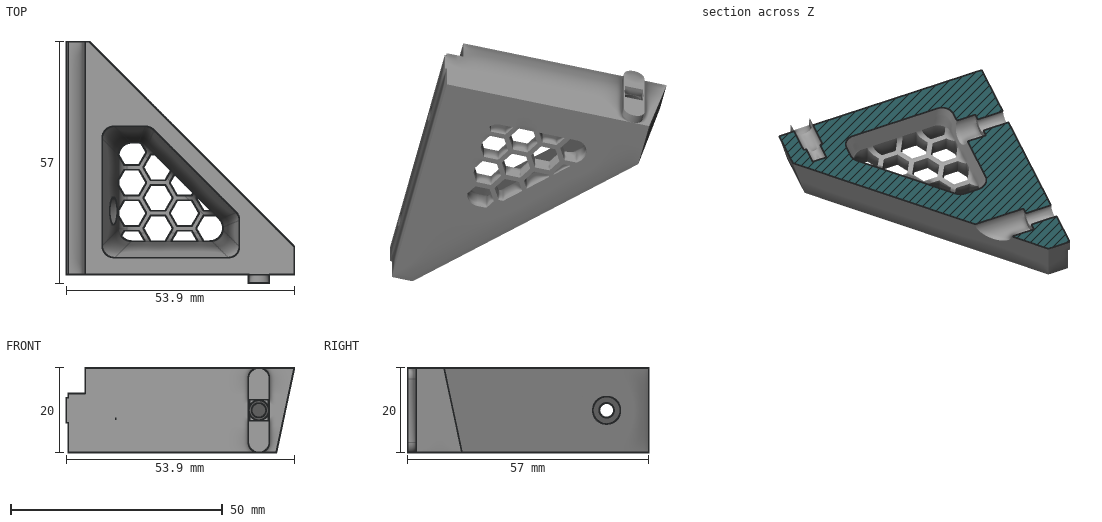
import cadquery as cq
import math

HEIGHT = 20.0
BODY_LENGTH_Y = 55.0
END_FACE_X = 53.39
END_FACE_SLOPE = 12.0
BACK_FACE_WIDTH = 5.0
HYPOTENUSE_SUM = BODY_LENGTH_Y + BACK_FACE_WIDTH

STEP_WIDTH = 4.0
STEP_DEPTH = 6.0
RIB_HEIGHT = 0.5
RIB_WIDTH = 6.0
MID_HEIGHT = HEIGHT / 2

WALL = 4.0
POCKET_LEFT = STEP_WIDTH + WALL
POCKET_FRONT = WALL
POCKET_RIGHT = 40.4
POCKET_BACK = 35.0
POCKET_SUM = HYPOTENUSE_SUM - WALL * math.sqrt(2)
POCKET_TAPER = 15.0
FLOOR_THICKNESS = 4.0
POCKET_CORNER_RADIUS = 3.0
RIGHT_CORNER_RADIUS = 2.7
FLOOR_FILLET = 2.0

HEX_FLATS = 6.0
HEX_WEB = 1.2
HEX_PITCH = HEX_FLATS + HEX_WEB
HEX_COLUMN_PITCH = HEX_PITCH * math.sqrt(3) / 2
HEX_FIRST_X = 14.96
HEX_FIRST_Y = 7.29
HEX_CLEARANCE = 0.02
HEX_COLUMNS = 4
HEX_ROWS = 4

NEAR_SCREW_Y = 15.0
FAR_SCREW_Y = 45.0
SCREW_DIAMETER = 3.4
HEAD_DIAMETER = 6.5
HEAD_SEAT_X = 6.0

TAB_X = 45.0
TAB_WIDTH = 5.0
TAB_THICKNESS = 2.0
TAB_NOTCH_WIDTH = 4.4
TAB_NOTCH_HEIGHT = 4.9
INSERT_DIAMETER = 4.7
INSERT_DEPTH = 6.0
PILOT_DEPTH = 10.0


def make_body():
    """Triangular block with the end face sloping inwards towards the bottom."""
    block = (
        cq.Workplane("XY")
        .polyline([
            (0, 0),
            (END_FACE_X, 0),
            (END_FACE_X, HYPOTENUSE_SUM - END_FACE_X),
            (BACK_FACE_WIDTH, BODY_LENGTH_Y),
            (0, BODY_LENGTH_Y),
        ])
        .close()
        .extrude(HEIGHT)
    )
    end_run = HEIGHT * math.tan(math.radians(END_FACE_SLOPE))
    end_wedge = (
        cq.Workplane("XZ")
        .polyline([(END_FACE_X, HEIGHT), (END_FACE_X, 0), (END_FACE_X - end_run, 0)])
        .close()
        .extrude(-BODY_LENGTH_Y)
    )
    step = cq.Workplane("XY").box(STEP_WIDTH, BODY_LENGTH_Y, STEP_DEPTH, centered=False)
    rib = cq.Workplane("XY").box(RIB_HEIGHT, BODY_LENGTH_Y, RIB_WIDTH, centered=False)
    return (
        block.cut(end_wedge)
        .cut(step.translate((0, 0, HEIGHT - STEP_DEPTH)))
        .union(rib.translate((-RIB_HEIGHT, 0, MID_HEIGHT - RIB_WIDTH / 2)))
    )


def pocket_outline(plane, inset):
    """Sharp-cornered pocket outline, moved inwards by the inset on every side."""
    left = POCKET_LEFT + inset
    front = POCKET_FRONT + inset
    right = POCKET_RIGHT - inset
    back = POCKET_BACK - inset
    diagonal = POCKET_SUM - inset * math.sqrt(2)
    return plane.polyline([
        (left, front),
        (right, front),
        (right, diagonal - right),
        (diagonal - back, back),
        (left, back),
    ]).close()


def make_pocket():
    """Pocket narrowing downwards, with rounded corners and a filleted floor."""
    pocket = pocket_outline(cq.Workplane("XY", origin=(0, 0, HEIGHT)), 0)
    pocket = pocket.extrude(-(HEIGHT - FLOOR_THICKNESS), taper=POCKET_TAPER)
    pocket = pocket.edges("not(#Z)").edges("not(>X)").fillet(POCKET_CORNER_RADIUS)
    pocket = pocket.edges("not(#Z)").edges(">X").fillet(RIGHT_CORNER_RADIUS)
    return pocket.faces("<Z").edges().fillet(FLOOR_FILLET)


def make_honeycomb():
    """Hexagonal holes, kept within the foot of the pocket walls."""
    taper = math.radians(POCKET_TAPER)
    wall_foot_z = FLOOR_THICKNESS + FLOOR_FILLET * (1 - math.sin(taper))
    foot_inset = (HEIGHT - wall_foot_z) * math.tan(taper) + HEX_CLEARANCE
    limit = (
        pocket_outline(cq.Workplane("XY"), foot_inset)
        .extrude(wall_foot_z)
        .edges("|Z")
        .fillet(POCKET_CORNER_RADIUS)
    )
    centres = []
    for column in range(HEX_COLUMNS):
        stagger = HEX_PITCH / 2 if column % 2 else 0
        for row in range(HEX_ROWS):
            x = HEX_FIRST_X + column * HEX_COLUMN_PITCH
            y = HEX_FIRST_Y + stagger + row * HEX_PITCH
            centres.append((x, y))
    hex_corner_diameter = HEX_FLATS * 2 / math.sqrt(3)
    holes = (
        cq.Workplane("XY")
        .pushPoints(centres)
        .polygon(6, hex_corner_diameter)
        .extrude(wall_foot_z)
    )
    return holes.intersect(limit)


def make_screw_hole(y, head_end_x):
    """Clearance hole along X with a counterbore running from its seat to head_end_x."""
    shank = (
        cq.Workplane("YZ", origin=(-RIB_HEIGHT, y, MID_HEIGHT))
        .circle(SCREW_DIAMETER / 2)
        .extrude(RIB_HEIGHT + HEAD_SEAT_X)
    )
    head = (
        cq.Workplane("YZ", origin=(HEAD_SEAT_X, y, MID_HEIGHT))
        .circle(HEAD_DIAMETER / 2)
        .extrude(head_end_x - HEAD_SEAT_X)
    )
    return shank.union(head)


def make_tab():
    """Full-height tab with rounded ends and a rectangular notch at mid height."""
    front = cq.Workplane("XZ", origin=(TAB_X, 0, MID_HEIGHT))
    tab = front.slot2D(HEIGHT, TAB_WIDTH, 90).extrude(TAB_THICKNESS)
    notch = front.rect(TAB_NOTCH_WIDTH, TAB_NOTCH_HEIGHT).extrude(TAB_THICKNESS)
    return tab.cut(notch)


def make_insert_hole():
    """Stepped blind hole along Y, starting at the outer face of the tab."""
    front = cq.Workplane("XZ", origin=(TAB_X, -TAB_THICKNESS, MID_HEIGHT))
    insert = front.circle(INSERT_DIAMETER / 2).extrude(-(TAB_THICKNESS + INSERT_DEPTH))
    pilot = front.circle(SCREW_DIAMETER / 2).extrude(-(TAB_THICKNESS + PILOT_DEPTH))
    return insert.union(pilot)


pocket_middle_x = (POCKET_LEFT + POCKET_RIGHT) / 2

result = make_body().cut(make_pocket()).cut(make_honeycomb())
result = result.cut(make_screw_hole(NEAR_SCREW_Y, pocket_middle_x))
result = result.cut(make_screw_hole(FAR_SCREW_Y, END_FACE_X))
result = result.union(make_tab()).cut(make_insert_hole())